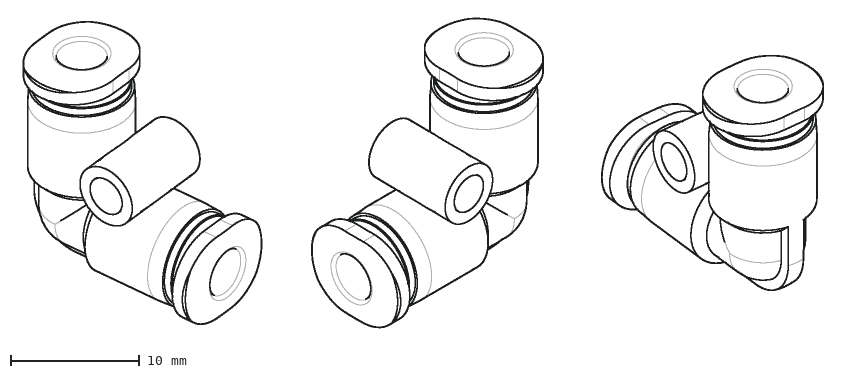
import cadquery as cq

total_length = 18.7
body_radius = 8.4 / 2
arm_length = total_length - body_radius

waist_radius = 3.33
shoulder_end = 3.7
shoulder_start = shoulder_end - (body_radius - waist_radius)
taper_start = 9.91
body_end = 11.37
taper_end_radius = 4.11
collar_radius = 7.8 / 2
collar_end = 12.1
collar_chamfer = 0.07

neck_radius = 5.37 / 2
neck_flare_radius = 0.34
flange_back = 12.95
flange_length = 9.8
flange_width = 2 * collar_radius
flange_cone_drop = 0.37
flange_rim_chamfer = 0.17

tube_bore_radius = 3.96 / 2
bore_lip_radius = 0.28
passage_radius = 3.0 / 2
tube_stop = shoulder_end

rib_thickness = 1.51

eyelet_radius = 5.2 / 2
eyelet_hole_radius = 3.2 / 2
eyelet_offset = 5.82
eyelet_length = 2 * body_radius


def toward_x(solid):
    """Turn a solid on the Z arm onto the X arm."""
    return solid.rotate((0, 0, 0), (0, 1, 0), 90)


def cylinder(radius, start, end):
    return cq.Workplane("XY").workplane(offset=start).circle(radius).extrude(end - start)


def make_arm_body():
    """Turned sleeve from its conical shoulder to the stepped collar."""
    return (
        cq.Workplane("XZ")
        .moveTo(0, 0)
        .lineTo(waist_radius, 0)
        .lineTo(waist_radius, shoulder_start)
        .lineTo(body_radius, shoulder_end)
        .lineTo(body_radius, taper_start)
        .lineTo(taper_end_radius, body_end)
        .lineTo(collar_radius, body_end)
        .lineTo(collar_radius, collar_end - collar_chamfer)
        .lineTo(collar_radius - collar_chamfer, collar_end)
        .lineTo(0, collar_end)
        .close()
        .revolve(360, (0, 0, 0), (0, 1, 0))
    )


def make_button():
    """Flared neck with a flange trimmed to an obround outline."""
    flange_radius = flange_length / 2
    rim_top = arm_length - flange_cone_drop
    face_inner_radius = tube_bore_radius + bore_lip_radius
    flare_start = flange_back - neck_flare_radius
    turned = (
        cq.Workplane("XZ")
        .moveTo(0, body_end)
        .lineTo(neck_radius, body_end)
        .lineTo(neck_radius, flare_start)
        .radiusArc((neck_radius + neck_flare_radius, flange_back), neck_flare_radius)
        .lineTo(flange_radius, flange_back)
        .lineTo(flange_radius, rim_top - flange_rim_chamfer)
        .lineTo(flange_radius - flange_rim_chamfer, rim_top)
        .lineTo(face_inner_radius, arm_length)
        .lineTo(0, arm_length)
        .close()
        .revolve(360, (0, 0, 0), (0, 1, 0))
    )
    outline = (
        cq.Workplane("XY")
        .workplane(offset=body_end)
        .slot2D(flange_length, flange_width, 90)
        .extrude(arm_length - body_end)
    )
    return turned.intersect(outline)


def make_bore():
    """Passage and tube socket of one arm, opening through a rounded lip."""
    lip_start = arm_length - bore_lip_radius
    lip = (
        cq.Workplane("XZ")
        .moveTo(0, lip_start)
        .lineTo(tube_bore_radius, lip_start)
        .radiusArc((tube_bore_radius + bore_lip_radius, arm_length), bore_lip_radius)
        .lineTo(0, arm_length)
        .close()
        .revolve(360, (0, 0, 0), (0, 1, 0))
    )
    socket = cylinder(tube_bore_radius, tube_stop, lip_start)
    return cylinder(passage_radius, 0, tube_stop).union(socket).union(lip)


def make_rib():
    """Full-radius elbow limited to a slab around the plane of the arms."""
    leg = cylinder(body_radius, 0, shoulder_end)
    elbow = cq.Workplane("XY").sphere(body_radius).union(leg).union(toward_x(leg))
    slab_size = 2 * total_length
    return elbow.intersect(cq.Workplane("XY").box(slab_size, rib_thickness, slab_size))


def make_eyelet():
    return (
        cq.Workplane("XZ")
        .center(eyelet_offset, eyelet_offset)
        .circle(eyelet_radius)
        .circle(eyelet_hole_radius)
        .extrude(eyelet_length / 2, both=True)
    )


arm = make_arm_body().union(make_button())
bore = make_bore()

result = cq.Workplane("XY").sphere(waist_radius)
for piece in (arm, toward_x(arm), make_rib(), make_eyelet()):
    result = result.union(piece)

passage_corner = cq.Workplane("XY").sphere(passage_radius)
for cavity in (passage_corner, bore, toward_x(bore)):
    result = result.cut(cavity)